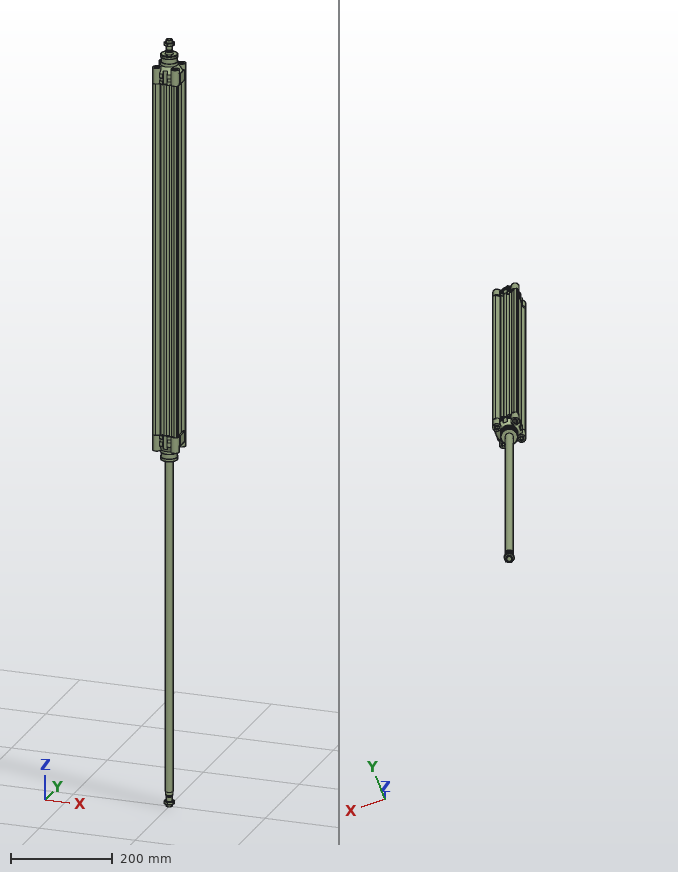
import cadquery as cq
import math


stroke = 700.0
housing_length_without_stroke = 105.0
housing_length = housing_length_without_stroke + stroke
cap_length = 33.0
cap_width = 54.5
barrel_length = housing_length - 2 * cap_length
bore_diameter = 40.0

barrel_half = 26.0
barrel_core_radius = 24.0
pad_edge = 19.0
valley_edge = 12.0
corner_chamfer = 1.5
sensor_groove_diameter = 6.2
sensor_groove_offset = 6.0

corner_post_diameter = 16.5
corner_post_offset = (cap_width - corner_post_diameter) / 2
flare_height = 2.0
flare_depth = 11.0
cap_core_radius = 26.5
core_groove_radius = 25.5
core_groove_start = 20.0
core_groove_end = 26.0
side_slot_width = 9.0
side_slot_floor = 22.0
port_block_width = 24.0
mount_hole_diameter = 4.92
mount_hole_depth = 16.0
mount_recess_diameter = 10.0
mount_recess_depth = 1.0

collar_radius = 17.5
collar_length = 24.0
collar_groove_radius = 16.0
collar_groove_start = 8.0
collar_groove_end = 18.0
collar_chamfer = 1.5

rod_diameter = 16.0
thread_diameter = 12.0
thread_length = 24.0
thread_chamfer = 1.0
undercut_diameter = 9.9
undercut_length = 3.0
neck_diameter = 15.5
neck_length = 8.0
shoulder_chamfer = 1.0
rod_shoulder_distance = 30.0
rod_exposed_length = rod_shoulder_distance + thread_length
rod_top = housing_length / 2 + rod_exposed_length
rod_bottom = -housing_length / 2 - rod_exposed_length - stroke

nut_across_flats = 19.0
nut_thickness = 6.0
nut_end_distance = 6.0
nut_face_diameter = 18.0
nut_chamfer_angle = 30.0


def disc(radius, bottom, top):
    """A cylinder on the Z axis between two heights."""
    return cq.Workplane("XY").workplane(offset=bottom).circle(radius).extrude(top - bottom)


def corner_cylinders(diameter, bottom, top):
    """Four cylinders on the corner post axes between two heights."""
    return (
        cq.Workplane("XY")
        .workplane(offset=bottom)
        .rect(2 * corner_post_offset, 2 * corner_post_offset, forConstruction=True)
        .vertices()
        .circle(diameter / 2)
        .extrude(top - bottom)
    )


def make_barrel():
    """Profiled tube: corner pads around a round core, with sensor grooves on the Y sides."""
    core_depth = math.sqrt(barrel_core_radius**2 - valley_edge**2)
    side = (
        cq.Workplane("XY")
        .workplane(offset=-barrel_length / 2)
        .moveTo(-pad_edge, barrel_half)
        .lineTo(-valley_edge, core_depth)
        .threePointArc((0, barrel_core_radius), (valley_edge, core_depth))
        .lineTo(pad_edge, barrel_half)
        .close()
        .extrude(barrel_length)
    )
    barrel = (
        cq.Workplane("XY")
        .box(2 * barrel_half, 2 * barrel_half, barrel_length)
        .edges("|Z")
        .chamfer(corner_chamfer)
    )
    for quarter in range(4):
        barrel = barrel.cut(side.rotate((0, 0, 0), (0, 0, 1), 90 * quarter))

    groove_distance = math.sqrt(barrel_core_radius**2 - sensor_groove_offset**2)
    grooves = (
        cq.Workplane("XY")
        .workplane(offset=-barrel_length / 2)
        .rect(2 * sensor_groove_offset, 2 * groove_distance, forConstruction=True)
        .vertices()
        .circle(sensor_groove_diameter / 2)
        .extrude(barrel_length)
    )
    bore = disc(bore_diameter / 2, -barrel_length / 2, barrel_length / 2)
    return barrel.cut(grooves).cut(bore)


def make_cap_core():
    """Turned middle of the upper cap: grooved core, flared neck and grooved collar, bored for the rod."""
    end_face = housing_length / 2
    rod_radius = rod_diameter / 2
    profile = [
        (rod_radius, -cap_length),
        (cap_core_radius, -cap_length),
        (cap_core_radius, -core_groove_end),
        (core_groove_radius, -core_groove_end),
        (core_groove_radius, -core_groove_start),
        (cap_core_radius, -core_groove_start),
        (cap_core_radius, -flare_depth),
        (collar_radius, flare_height),
        (collar_radius, collar_groove_start),
        (collar_groove_radius, collar_groove_start),
        (collar_groove_radius, collar_groove_end),
        (collar_radius, collar_groove_end),
        (collar_radius, collar_length - collar_chamfer),
        (collar_radius - collar_chamfer, collar_length),
        (rod_radius, collar_length),
    ]
    return (
        cq.Workplane("XZ", origin=(0, 0, end_face))
        .polyline(profile)
        .close()
        .revolve(360, (0, 0, 0), (0, 1, 0))
    )


def make_upper_cap():
    """End cap with four corner posts, a port block on +X and slots in the other three sides."""
    end_face = housing_length / 2
    cap_base = end_face - cap_length
    core = make_cap_core()

    slot_cutter = (
        cq.Workplane("XY")
        .box(cap_width, side_slot_width, cap_length, centered=(True, True, False))
        .translate((-side_slot_floor - cap_width / 2, 0, cap_base))
    )
    for quarter in (-1, 0, 1):
        core = core.cut(slot_cutter.rotate((0, 0, 0), (0, 0, 1), 90 * quarter))

    rod_hole = disc(rod_diameter / 2, cap_base, end_face + collar_length)
    posts = corner_cylinders(corner_post_diameter, cap_base, end_face)
    port_block = (
        cq.Workplane("XY")
        .box(cap_width / 2, port_block_width, cap_length - flare_depth, centered=(False, True, False))
        .translate((0, 0, cap_base))
        .cut(rod_hole)
    )
    mount_holes = corner_cylinders(mount_hole_diameter, end_face - mount_hole_depth, end_face)
    mount_recesses = corner_cylinders(mount_recess_diameter, end_face - mount_recess_depth, end_face)
    return core.union(posts).union(port_block).cut(mount_holes).cut(mount_recesses)


def make_rod_end():
    """Upper threaded end of the rod, from the tip down to the start of the full diameter."""
    neck_bottom = rod_top - thread_length - neck_length
    shoulder = rod_top - thread_length
    neck = disc(neck_diameter / 2, neck_bottom, shoulder).faces(">Z").chamfer(shoulder_chamfer)
    undercut = disc(undercut_diameter / 2, shoulder, shoulder + undercut_length)
    thread = disc(thread_diameter / 2, shoulder + undercut_length, rod_top)
    return neck.union(undercut).union(thread.faces(">Z").chamfer(thread_chamfer))


def make_rod():
    """Through rod with the same threaded end at the top and the bottom."""
    end_length = thread_length + neck_length
    upper_end = make_rod_end()
    lower_end = upper_end.mirror("XY").translate((0, 0, rod_bottom + rod_top))
    shaft = disc(rod_diameter / 2, rod_bottom + end_length, rod_top - end_length)
    return shaft.union(upper_end).union(lower_end)


def make_upper_nut():
    """Thin hexagon nut, chamfered on both faces, corners pointing along Y."""
    bottom = rod_top - nut_end_distance - nut_thickness
    corner_diameter = nut_across_flats / math.cos(math.pi / 6)
    corner_drop = (corner_diameter - nut_face_diameter) / 2 * math.tan(math.radians(nut_chamfer_angle))
    rim = corner_diameter / 2
    face = nut_face_diameter / 2
    hexagon = (
        cq.Workplane("XY")
        .workplane(offset=bottom)
        .transformed(rotate=(0, 0, 90))
        .polygon(6, corner_diameter)
        .extrude(nut_thickness)
    )
    envelope = (
        cq.Workplane("XZ", origin=(0, 0, bottom))
        .polyline(
            [
                (0, 0),
                (face, 0),
                (rim, corner_drop),
                (rim, nut_thickness - corner_drop),
                (face, nut_thickness),
                (0, nut_thickness),
            ]
        )
        .close()
        .revolve(360, (0, 0, 0), (0, 1, 0))
    )
    thread_hole = disc(thread_diameter / 2, bottom, bottom + nut_thickness)
    return hexagon.intersect(envelope).cut(thread_hole)


barrel = make_barrel()
upper_cap = make_upper_cap()
lower_cap = upper_cap.mirror("XY")
rod = make_rod()
upper_nut = make_upper_nut()
lower_nut = upper_nut.mirror("XY").translate((0, 0, rod_bottom + rod_top))

result = cq.Compound.makeCompound(
    [
        barrel.val(),
        upper_cap.val(),
        lower_cap.val(),
        rod.val(),
        upper_nut.val(),
        lower_nut.val(),
    ]
)